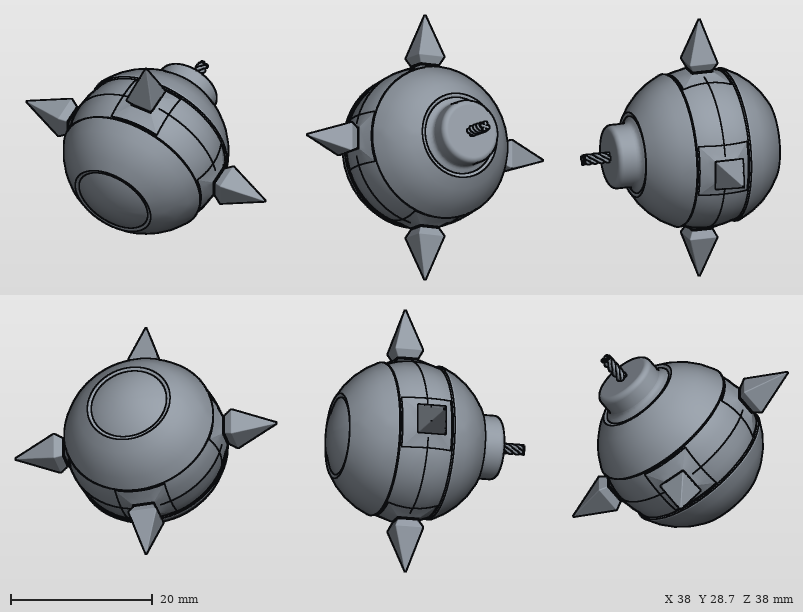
import cadquery as cq
import math


BALL_RADIUS = 11.3
NECK_RADIUS = 4.52
NECK_END = 13.45
NECK_FILLET = 0.75

SHELL_RADIUS = 11.65
SHELL_OPENING_END = 10.0
SHELL_BAND_END = 4.33
LIP_WIDTH = 0.25
OPENING_LIP_DROP = 0.05
BAND_LIP_INSET = 0.08
BAND_LIP_BULGE = 0.02
SEAT_RADIUS = 5.47
SEAT_BAND_END = 3.85
SHELL_MIDDLE_ANGLE = 40.0

SPIKE_COUNT = 4
SPIKE_TIP = 19.0
TIP_HALF_WIDTH = 0.1
HEAD_BASE = 12.88
HEAD_HALF_WIDTH = 2.1
WAIST_TOP = 11.75
WAIST_BOTTOM = 11.5
WAIST_HALF_WIDTH = 1.52
COLLAR_HALF_WIDTH = 3.6
EDGE_ROUND = 0.15
SMALLEST_FLAT = 0.02

WICK_END = 17.4
WICK_STRAIGHT = 0.23
WICK_RADIUS = 0.75
STRAND_COUNT = 4
STRAND_ANGLE = 360.0 / STRAND_COUNT
WICK_TWIST = 350.0
WICK_START_ANGLE = 11.0


def on_circle(radius, distance):
    """The other leg of a right triangle with this hypotenuse and leg."""
    return math.sqrt(radius**2 - distance**2)


def polar(radius, degrees):
    """Point at a radius and angle."""
    angle = math.radians(degrees)
    return (radius * math.cos(angle), radius * math.sin(angle))


def make_half_ball(side):
    """Half of the ball on the +Y (side = 1) or -Y (side = -1) side of its middle plane."""
    diagonal = BALL_RADIUS * math.sqrt(0.5)
    return (
        cq.Workplane("XY")
        .lineTo(BALL_RADIUS, 0)
        .threePointArc((diagonal, side * diagonal), (0, side * BALL_RADIUS))
        .close()
        .revolve(360, (0, 0, 0), (0, 1, 0))
    )


def make_rear_ball():
    """Rear half ball with the neck, rounded at its end and at its foot."""
    neck = cq.Workplane("XZ").circle(NECK_RADIUS).extrude(-NECK_END)
    body = make_half_ball(1).union(neck)
    foot = on_circle(BALL_RADIUS, NECK_RADIUS)
    reach = NECK_RADIUS + 0.38
    around_foot = cq.selectors.BoxSelector((-reach, foot - 0.38, -reach), (reach, foot + 0.38, reach))
    return body.faces(">Y").edges().fillet(NECK_FILLET).edges(around_foot).fillet(NECK_FILLET)


def make_shell(side):
    """Cover between the middle band and the axial opening, on the +Y or -Y side."""
    opening_radius = on_circle(SHELL_RADIUS, SHELL_OPENING_END)
    band_radius = on_circle(SHELL_RADIUS, SHELL_BAND_END)
    seat_opening_end = on_circle(BALL_RADIUS, SEAT_RADIUS)
    seat_band_radius = on_circle(BALL_RADIUS, SEAT_BAND_END)
    outer_x, outer_y = polar(SHELL_RADIUS, SHELL_MIDDLE_ANGLE)
    inner_x, inner_y = polar(BALL_RADIUS, SHELL_MIDDLE_ANGLE)
    bulge = (band_radius + BAND_LIP_BULGE, side * (SHELL_BAND_END - LIP_WIDTH / 2))
    band_lip = (band_radius - BAND_LIP_INSET, side * (SHELL_BAND_END - LIP_WIDTH))
    return (
        cq.Workplane("XY")
        .moveTo(opening_radius, side * SHELL_OPENING_END)
        .threePointArc((outer_x, side * outer_y), (band_radius, side * SHELL_BAND_END))
        .threePointArc(bulge, band_lip)
        .lineTo(seat_band_radius, side * SEAT_BAND_END)
        .threePointArc((inner_x, side * inner_y), (SEAT_RADIUS, side * seat_opening_end))
        .lineTo(opening_radius - LIP_WIDTH, side * (SHELL_OPENING_END - OPENING_LIP_DROP))
        .close()
        .revolve(360, (0, 0, 0), (0, 1, 0))
    )


def square_corners(half_width, x):
    """Corners of a square across the X axis."""
    signs = [(-1, -1), (1, -1), (1, 1), (-1, 1)]
    return [cq.Vector(x, a * half_width, b * half_width) for a, b in signs]


def make_collar():
    """Flared foot along -X: ruled sides from the square waist down to a square on the ball."""
    width = 2 * COLLAR_HALF_WIDTH
    patch = (
        cq.Workplane("XY")
        .sphere(BALL_RADIUS)
        .intersect(cq.Workplane("YZ").rect(width, width).extrude(-SPIKE_TIP))
        .faces("%SPHERE")
    )
    top = square_corners(WAIST_HALF_WIDTH, -WAIST_BOTTOM)
    middle_x = -on_circle(BALL_RADIUS, COLLAR_HALF_WIDTH)
    corner_x = -on_circle(-middle_x, COLLAR_HALF_WIDTH)
    foot = square_corners(COLLAR_HALF_WIDTH, corner_x)
    faces = [patch.val(), cq.Face.makeFromWires(cq.Wire.makePolygon(top, close=True))]
    for i in range(len(foot)):
        j = (i + 1) % len(foot)
        middle = (foot[i] + foot[j]) / 2
        middle.x = middle_x
        arc = cq.Edge.makeThreePointArc(foot[i], middle, foot[j])
        faces.append(cq.Face.makeRuledSurface(arc, cq.Edge.makeLine(top[i], top[j])))
    return cq.Workplane(cq.Solid.makeSolid(cq.Shell.makeShell(faces)))


def rounded_square(half_width):
    """Square section with rounded corners, smaller where the section is very small."""
    corner = min(EDGE_ROUND, half_width - SMALLEST_FLAT)
    return cq.Sketch().rect(2 * half_width, 2 * half_width).vertices().fillet(corner)


def make_frustum(start_x, start_half_width, end_x, end_half_width):
    """Square frustum along -X with rounded long edges."""
    start = rounded_square(start_half_width)
    end = rounded_square(end_half_width).moved(cq.Location(cq.Vector(0, 0, start_x - end_x)))
    return cq.Workplane("YZ", origin=(-start_x, 0, 0)).placeSketch(start, end).loft(ruled=True)


def make_spike():
    """Spike pointing along -X: collar, straight waist, flared back and pyramid head."""
    waist = make_frustum(WAIST_BOTTOM, WAIST_HALF_WIDTH, WAIST_TOP, WAIST_HALF_WIDTH)
    back = make_frustum(WAIST_TOP, WAIST_HALF_WIDTH, HEAD_BASE, HEAD_HALF_WIDTH)
    head = make_frustum(HEAD_BASE, HEAD_HALF_WIDTH, SPIKE_TIP, TIP_HALF_WIDTH)
    reach = HEAD_HALF_WIDTH + 0.38
    rim = cq.selectors.BoxSelector((-HEAD_BASE - 0.05, -reach, -reach), (-HEAD_BASE + 0.05, reach, reach))
    pointed = back.union(head).edges(rim).fillet(EDGE_ROUND)
    return make_collar().union(waist).union(pointed)


def wick_outline(end):
    """Outline of the touching strands, one outward arc for each, across the Y axis."""
    half_angle = STRAND_ANGLE / 2
    ring_radius = WICK_RADIUS / (1 + math.sin(math.radians(half_angle)))
    valley_radius = ring_radius * math.cos(math.radians(half_angle))
    first_valley = polar(valley_radius, WICK_START_ANGLE - half_angle)
    outline = cq.Workplane("XZ", origin=(0, end, 0)).moveTo(*first_valley)
    for i in range(STRAND_COUNT):
        crest_angle = WICK_START_ANGLE + i * STRAND_ANGLE
        crest = polar(WICK_RADIUS, crest_angle)
        outline = outline.threePointArc(crest, polar(valley_radius, crest_angle + half_angle))
    return outline.close()


def make_wick():
    """Twisted rope standing on the neck, with a short straight end."""
    twisted_end = WICK_END - WICK_STRAIGHT
    straight = wick_outline(WICK_END).extrude(WICK_STRAIGHT)
    twisted = wick_outline(twisted_end).twistExtrude(twisted_end - NECK_END, WICK_TWIST)
    return straight.union(twisted)


front_ball = make_half_ball(-1)
rear_ball = make_rear_ball()
shells = [make_shell(side) for side in (-1, 1)]
spike = make_spike()
spikes = [spike.rotate((0, 0, 0), (0, 1, 0), i * 360 / SPIKE_COUNT) for i in range(SPIKE_COUNT)]
wick = make_wick()

result = cq.Compound.makeCompound(
    [
        front_ball.val(),
        rear_ball.val(),
        *[shell.val() for shell in shells],
        *[one_spike.val() for one_spike in spikes],
        wick.val(),
    ]
)